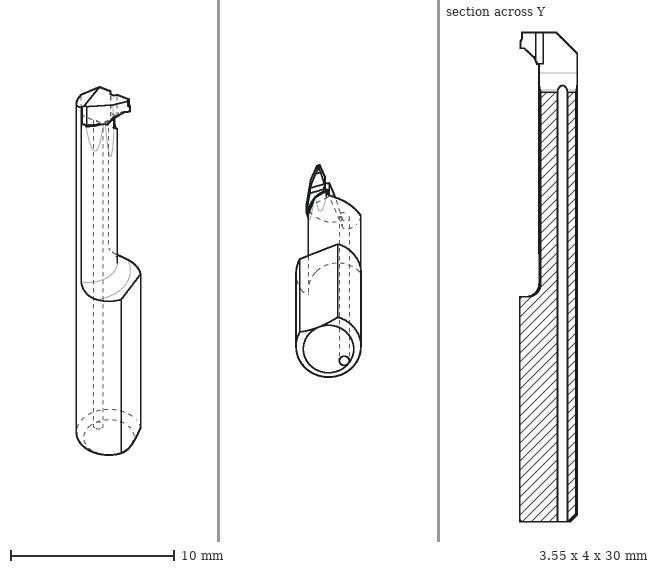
import cadquery as cq
import math

length = 30.0
shank_diameter = 4.0
shank_width = 3.55
shank_radius = shank_diameter / 2
flat_x = shank_width - shank_radius
shoulder_z = 13.8
bottom_chamfer = 0.45

neck_radius = 1.8
neck_edge_x = 0.35
neck_center_x = neck_edge_x - neck_radius
neck_fillet = 0.78

coolant_radius = 0.3
coolant_x = -1.08
coolant_y = 0.6

head_back_x = -0.93
nose_x = 1.5
nose_bottom_z = 29.0
nose_step_z = 29.52
nose_relief = 0.1
top_edge_x = -0.7
corner_chamfer = top_edge_x + shank_radius
under_profile = [(1.25, nose_bottom_z), (0.65, 28.47), (0.48, 28.08), (head_back_x, 27.85)]
clearance_outline = [(nose_x, -0.1), (0.75, -0.87), (-0.6, -1.7), (head_back_x, -1.75)]
under_angle = 14.0
top_slope_angle = 3.0

face_y = 0.1
rake_edge_x = 0.33
chip_groove_radius = 0.25
ramp_end_y = 0.48
ramp_end_z = 26.5
ramp_angle = 41.0

neck_relief_top_z = 28.08
neck_reliefs = [(-48, 25.92, 0.1), (-12, 24.87, 0.05)]

oversize = shank_diameter


def make_shank():
    """Full-height round bar with a flat side and a chamfered bottom."""
    bar = cq.Workplane("XY").circle(shank_radius).extrude(length)
    bar = bar.faces("<Z").chamfer(bottom_chamfer)
    limit = cq.Workplane("XY").box(
        flat_x + oversize, 2 * oversize, length, centered=(False, True, False)
    )
    return bar.intersect(limit.translate((-oversize, 0, 0)))


def make_neck_envelope():
    """Revolved neck column that flares through a fillet into the shoulder."""
    fillet_top_z = shoulder_z + neck_fillet
    flare_radius = neck_radius + neck_fillet
    middle = neck_fillet * (1 - math.sqrt(0.5))
    profile = (
        cq.Workplane("XZ")
        .lineTo(oversize, 0)
        .lineTo(oversize, shoulder_z)
        .lineTo(flare_radius, shoulder_z)
        .threePointArc((neck_radius + middle, shoulder_z + middle), (neck_radius, fillet_top_z))
        .lineTo(neck_radius, length)
        .lineTo(0, length)
        .close()
    )
    return profile.revolve(360, (0, 0, 0), (0, 1, 0)).translate((neck_center_x, 0, 0))


def make_neck_relief(direction, runout_z, depth):
    """Wedge outside a flat that leans into the neck, deepest under the head."""
    wedge = (
        cq.Workplane("XZ")
        .moveTo(neck_radius, runout_z)
        .lineTo(neck_radius - depth, neck_relief_top_z)
        .lineTo(oversize, neck_relief_top_z)
        .lineTo(oversize, runout_z)
        .close()
        .extrude(shank_radius, both=True)
    )
    turned = wedge.rotate((0, 0, 0), (0, 0, 1), direction)
    back_half = cq.Workplane("XY").box(
        2 * oversize, oversize, length, centered=(True, False, False)
    ).translate((0, -oversize, 0))
    return turned.translate((neck_center_x, 0, 0)).intersect(back_half)


def make_head():
    """Cutting nose with a sloping underside and two clearance faces behind it."""
    side_points = [
        (head_back_x, length + oversize),
        (nose_x - nose_relief, length + oversize),
        (nose_x - nose_relief, nose_step_z),
        (nose_x, nose_step_z - nose_relief),
        (nose_x, nose_bottom_z),
        *under_profile,
    ]
    side = cq.Workplane("XZ").polyline(side_points).close().extrude(oversize, both=True)
    side = side.rotate((0, 0, nose_bottom_z), (1, 0, nose_bottom_z), -under_angle)
    plan_points = [
        (head_back_x, 0),
        (nose_x, 0),
        *clearance_outline,
    ]
    plan = cq.Workplane("XY").polyline(plan_points).close().extrude(length)
    return side.intersect(plan)


def make_ramp_cut():
    """Space in front of the rake face, with a rounded ramp down the neck."""
    angle = math.radians(ramp_angle)
    radius = (ramp_end_y - face_y) / (1 - math.cos(angle))
    arc_top_z = ramp_end_z + radius * math.sin(angle)
    middle = (
        face_y + radius * (1 - math.cos(angle / 2)),
        arc_top_z - radius * math.sin(angle / 2),
    )
    ramp_bottom_z = ramp_end_z - (oversize - ramp_end_y) / math.tan(angle)
    return (
        cq.Workplane("YZ")
        .moveTo(face_y, length)
        .lineTo(face_y, arc_top_z)
        .threePointArc(middle, (ramp_end_y, ramp_end_z))
        .lineTo(oversize, ramp_bottom_z)
        .lineTo(oversize, length)
        .close()
        .extrude(oversize, both=True)
    )


def make_rake_step():
    """Shallow step with a round groove that lowers the rake face beside the cutting edge."""
    step = cq.Workplane("XY").box(
        oversize, oversize, length - neck_relief_top_z, centered=False
    )
    groove = (
        cq.Workplane("XY")
        .center(0, face_y)
        .circle(chip_groove_radius)
        .extrude(length - neck_relief_top_z)
    )
    return step.union(groove).translate((rake_edge_x, 0, neck_relief_top_z))


def make_top_cut():
    """Top clearance falling toward -Y and the 45 degree corner."""
    drop = oversize * math.tan(math.radians(top_slope_angle))
    slope = (
        cq.Workplane("YZ")
        .polyline([(0, length), (-oversize, length - drop), (-oversize, length)])
        .close()
        .extrude(oversize, both=True)
    )
    corner = (
        cq.Workplane("XZ")
        .moveTo(top_edge_x, length)
        .lineTo(-shank_radius, length)
        .lineTo(-shank_radius, length - corner_chamfer)
        .close()
        .extrude(oversize, both=True)
    )
    return slope.union(corner)


body = make_shank().intersect(make_neck_envelope())
for direction, runout_z, depth in neck_reliefs:
    body = body.cut(make_neck_relief(direction, runout_z, depth))
body = body.union(make_head())
body = body.cut(make_ramp_cut()).cut(make_rake_step()).cut(make_top_cut())

coolant_hole = (
    cq.Workplane("XY").center(coolant_x, coolant_y).circle(coolant_radius).extrude(length)
)
result = body.cut(coolant_hole)